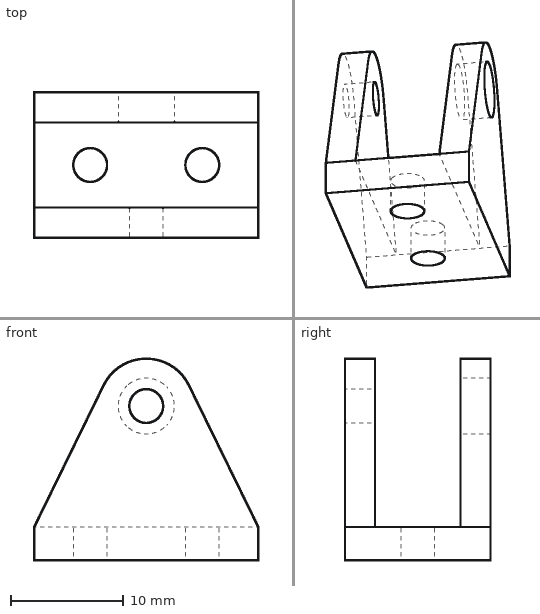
import cadquery as cq
import math

length = 20.0
width = 13.0
base_height = 3.0
base_hole_diameter = 3.0
base_hole_spacing = 10.0

lug_thickness = 2.7
total_height = 18.02
pivot_height = 13.78
tip_radius = total_height - pivot_height
front_hole_diameter = 3.0
rear_hole_diameter = 5.0

half_length = length / 2
half_width = width / 2
corner_drop = pivot_height - base_height
corner_distance = math.hypot(half_length, corner_drop)
tangent_angle = math.acos(tip_radius / corner_distance) - math.atan2(corner_drop, half_length)
tangent_x = tip_radius * math.cos(tangent_angle)
tangent_z = pivot_height + tip_radius * math.sin(tangent_angle)


def lug(outer_y, hole_diameter):
    """Round-topped lug with a pivot hole, extending toward +Y from outer_y."""
    plane = cq.Workplane("XZ", origin=(0, outer_y, 0))
    plate = (
        plane.moveTo(-half_length, 0)
        .lineTo(half_length, 0)
        .lineTo(half_length, base_height)
        .lineTo(tangent_x, tangent_z)
        .threePointArc((0, total_height), (-tangent_x, tangent_z))
        .lineTo(-half_length, base_height)
        .close()
        .extrude(-lug_thickness)
    )
    hole = plane.center(0, pivot_height).circle(hole_diameter / 2).extrude(-lug_thickness)
    return plate.cut(hole)


base = (
    cq.Workplane("XY")
    .rect(length, width)
    .extrude(base_height)
    .faces(">Z")
    .workplane()
    .rarray(base_hole_spacing, 0.2, 2, 1)
    .hole(base_hole_diameter)
)

front_lug = lug(-half_width, front_hole_diameter)
rear_lug = lug(half_width - lug_thickness, rear_hole_diameter)
result = base.union(front_lug).union(rear_lug)